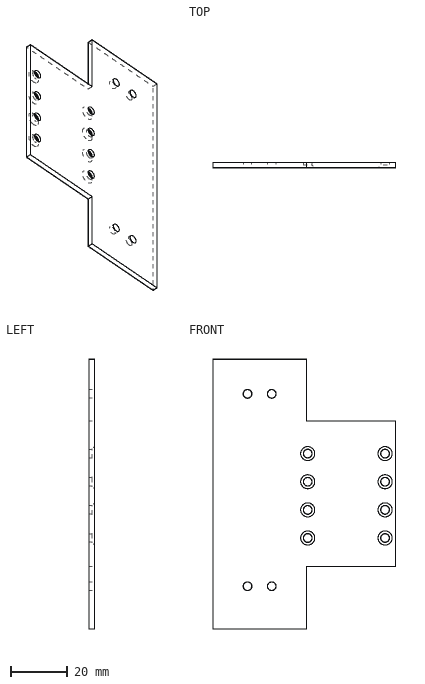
import cadquery as cq

thickness = 2.0
total_width = 64.93
total_height = 96.0

strip_width = 33.3
arm_bottom = 22.2
arm_height = 51.8

plain_diameter = 3.0
plain_first_x = 12.3
plain_pitch_x = 8.6
plain_bottom_z = 15.25
plain_pitch_z = 68.4
plain_columns = 2
plain_rows = 2

sunk_diameter = 3.0
sink_diameter = 5.0
sink_angle = 90.0
sunk_first_x = 33.7
sunk_pitch_x = 27.5
sunk_bottom_z = 32.4
sunk_pitch_z = 10.0
sunk_columns = 2
sunk_rows = 4


def grid(first_x, pitch_x, columns, first_z, pitch_z, rows):
    """Return the (x, z) centres of a rectangular hole pattern."""
    return [
        (first_x + column * pitch_x, first_z + row * pitch_z)
        for column in range(columns)
        for row in range(rows)
    ]


def make_plate():
    """Tall strip and arm as one flat plate, extruded from the front face toward +Y."""
    arm_top = arm_bottom + arm_height
    outline = [
        (0, 0),
        (strip_width, 0),
        (strip_width, arm_bottom),
        (total_width, arm_bottom),
        (total_width, arm_top),
        (strip_width, arm_top),
        (strip_width, total_height),
        (0, total_height),
    ]
    return cq.Workplane("XZ").polyline(outline).close().extrude(-thickness)


def front_face(plate):
    """Workplane on the front face, with its local axes along X and Z."""
    return plate.faces("<Y").workplane(origin=(0, 0, 0))


def drill_plain_holes(plate):
    """Straight through holes at both ends of the strip."""
    centres = grid(
        plain_first_x, plain_pitch_x, plain_columns, plain_bottom_z, plain_pitch_z, plain_rows
    )
    return front_face(plate).pushPoints(centres).hole(plain_diameter)


def drill_countersunk_holes(plate):
    """Through holes with conical seats open to the front."""
    centres = grid(sunk_first_x, sunk_pitch_x, sunk_columns, sunk_bottom_z, sunk_pitch_z, sunk_rows)
    return front_face(plate).pushPoints(centres).cskHole(sunk_diameter, sink_diameter, sink_angle)


result = drill_countersunk_holes(drill_plain_holes(make_plate()))